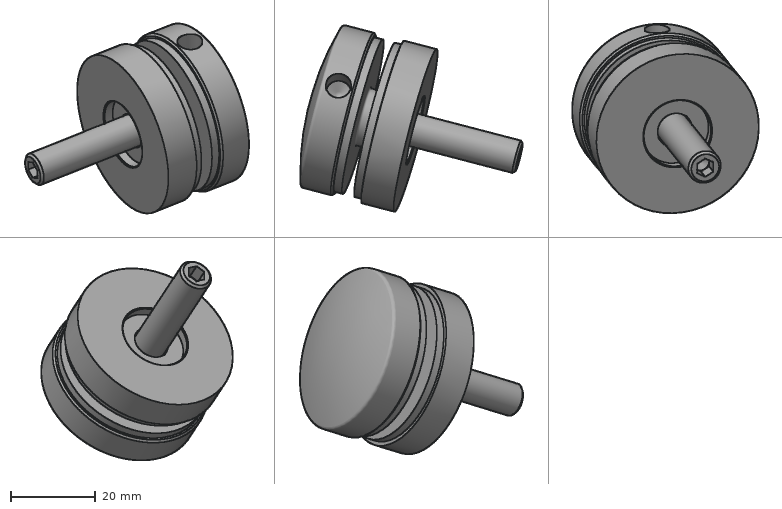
import cadquery as cq
import math


full_turn = 360

disc_radius = 40 / 2
gasket_radius = 38 / 2
gasket_thickness = 2.0
glass_gap = 3.0

stud_radius = 8 / 2
stud_tip_radius = 6.8 / 2
stud_tip_chamfer = stud_radius - stud_tip_radius
stud_reach = 25.5
hex_sides = 6
hex_width = 4.0
hex_depth = 4.0
hex_turn = 30.0
drill_point_angle = 118.0

base_thickness = 8.0
clearance_radius = 8.5 / 2
recess_radius = 16.5 / 2
recess_depth = 2.5
recess_chamfer = 0.25

sleeve_radius = 14 / 2
sleeve_root_fillet = 0.5

cap_edge_chamfer = 0.5
cap_edge_fillet = 0.8
cap_side_height = 8.0
dome_rise = 3.0
dome_radius = (disc_radius**2 + dome_rise**2) / (2 * dome_rise)
bar_hole_radius = 6 / 2
bar_hole_depth = 6.0
bar_hole_offset = cap_side_height / 2
stud_depth_in_cap = 5.0

base_gasket_start = base_thickness
glass_start = base_gasket_start + gasket_thickness
glass_end = glass_start + glass_gap
cap_start = glass_end + gasket_thickness
dome_top = cap_start + cap_side_height + dome_rise
stud_end = cap_start + stud_depth_in_cap


def cylinder(radius, start, end):
    """Cylinder on the Y axis from start to end."""
    axis_start = cq.Vector(0, start, 0)
    return cq.Workplane(cq.Solid.makeCylinder(radius, end - start, axis_start, cq.Vector(0, 1, 0)))


def drill_point(radius, base_center, direction):
    """Conical bottom of a drilled hole."""
    height = radius / math.tan(math.radians(drill_point_angle / 2))
    return cq.Workplane(cq.Solid.makeCone(radius, 0, height, base_center, direction))


def make_base():
    base = cylinder(disc_radius, 0, base_thickness)
    recess = cylinder(recess_radius, 0, recess_depth)
    base = base.cut(recess).cut(cylinder(clearance_radius, 0, base_thickness))
    recess_rim = cq.selectors.RadiusNthSelector(0)
    return base.faces("<Y").edges(recess_rim).chamfer(recess_chamfer)


def make_base_gasket():
    ring = cylinder(gasket_radius, base_gasket_start, glass_start)
    return ring.cut(cylinder(stud_radius, base_gasket_start, glass_start))


def make_sleeve_gasket():
    """Gasket under the cap, in one piece with the sleeve that crosses the glass."""
    root_center_radius = sleeve_radius + sleeve_root_fillet
    root_start = glass_end - sleeve_root_fillet
    profile = (
        cq.Workplane("XY")
        .moveTo(stud_radius, glass_start)
        .lineTo(sleeve_radius, glass_start)
        .lineTo(sleeve_radius, root_start)
        .radiusArc((root_center_radius, glass_end), sleeve_root_fillet)
        .lineTo(gasket_radius, glass_end)
        .lineTo(gasket_radius, cap_start)
        .lineTo(stud_radius, cap_start)
        .close()
    )
    return profile.revolve(full_turn, (0, 0, 0), (0, 1, 0))


def make_cap():
    cap = cylinder(disc_radius, cap_start, dome_top)
    cap = cap.faces("<Y").edges().chamfer(cap_edge_chamfer)
    dome_center_y = dome_top - dome_radius
    dome = cq.Workplane("XY").sphere(dome_radius).translate((0, dome_center_y, 0))
    cap = cap.intersect(dome)
    cap = cap.edges("%CIRCLE").edges(">Y").fillet(cap_edge_fillet)
    cap = cap.cut(cylinder(stud_radius, cap_start, stud_end))
    return cap.cut(make_bar_hole())


def make_bar_hole():
    """Blind radial hole for a tightening bar."""
    bar_hole_y = cap_start + bar_hole_offset
    floor = cq.Vector(0, bar_hole_y, disc_radius - bar_hole_depth)
    up = cq.Vector(0, 0, 1)
    hole = cq.Workplane(cq.Solid.makeCylinder(bar_hole_radius, bar_hole_depth, floor, up))
    return hole.union(drill_point(bar_hole_radius, floor, -up))


def make_stud():
    stud = cylinder(stud_radius, -stud_reach, stud_end)
    stud = stud.faces("<Y").edges().chamfer(stud_tip_chamfer)
    hex_corner_diameter = hex_width / math.cos(math.radians(full_turn / (2 * hex_sides)))
    socket_floor = cq.Vector(0, -stud_reach + hex_depth, 0)
    socket = cq.Workplane("XZ", origin=socket_floor)
    socket = socket.transformed(rotate=(0, 0, hex_turn))
    socket = socket.polygon(hex_sides, hex_corner_diameter).extrude(hex_depth)
    point = drill_point(hex_width / 2, socket_floor, cq.Vector(0, 1, 0))
    return stud.cut(socket).cut(point)


base = make_base()
base_gasket = make_base_gasket()
sleeve_gasket = make_sleeve_gasket()
cap = make_cap()
stud = make_stud()

result = cq.Compound.makeCompound(
    [base.val(), base_gasket.val(), sleeve_gasket.val(), cap.val(), stud.val()]
)